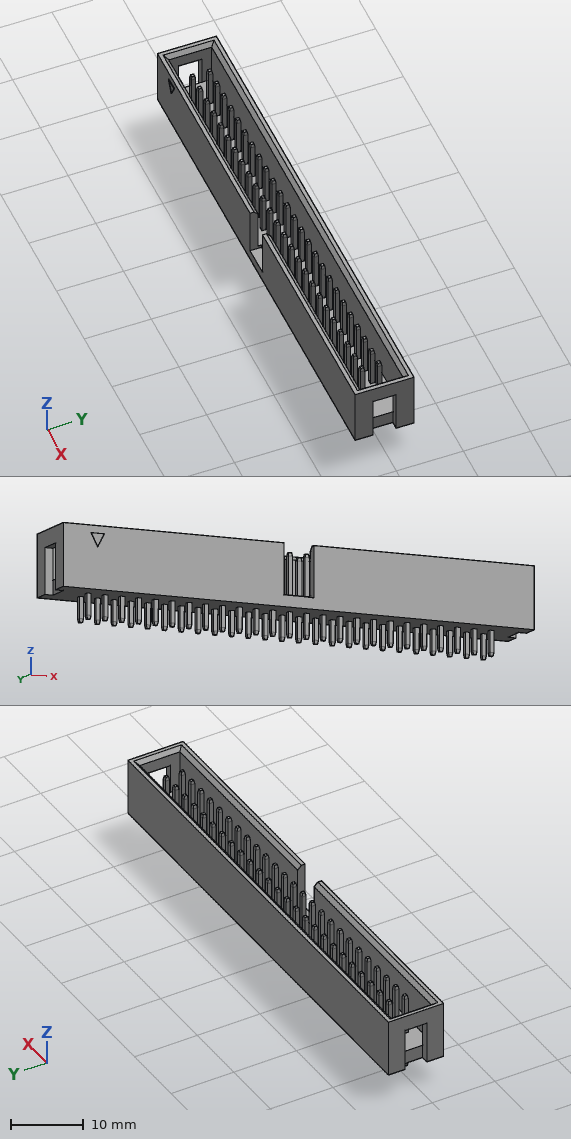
import cadquery as cq


length = 71.3
width = 8.8
height = 9.0
wall = 1.2
floor_thickness = 2.1
lead_in = 0.6

key_width = 4.5
key_depth = 1.7
key_bottom = 1.65

end_slot_width = 3.45
end_slot_top = 6.6

columns = 25
rows = 2
pitch = 2.54
pin_size = 0.64
pin_below = 3.6
pin_top = 8.35
pin_taper_height = 0.5
pin_taper_inset = 0.1

mark_width = 2.0
mark_height = 1.9
mark_top_gap = 1.1
mark_relief = 0.1

front_y = -width / 2
first_pin_x = -pitch * (columns - 1) / 2


def block(size_x, size_y, bottom, top):
    """Box centred on X and Y, spanning bottom to top in Z."""
    return (
        cq.Workplane("XY")
        .workplane(offset=bottom)
        .rect(size_x, size_y)
        .extrude(top - bottom)
    )


def shroud():
    """Open-topped housing with a chamfered inner rim."""
    cavity_length = length - 2 * wall
    cavity_width = width - 2 * wall
    cavity = block(cavity_length, cavity_width, floor_thickness, height)
    rim = (
        cq.Workplane("XY")
        .workplane(offset=height - lead_in)
        .rect(cavity_length, cavity_width)
        .workplane(offset=lead_in)
        .rect(cavity_length + 2 * lead_in, cavity_width + 2 * lead_in)
        .loft(ruled=True)
    )
    return block(length, width, 0, height).cut(cavity).cut(rim)


def key_slot():
    """Polarising slot through the front wall, sunk slightly into the floor."""
    return block(key_width, key_depth, key_bottom, height).translate((0, front_y + key_depth / 2, 0))


def end_slot(side):
    """Slot through one end wall, open at the bottom; side is -1 or +1."""
    slot_x = side * (length - wall) / 2
    return block(wall, end_slot_width, 0, end_slot_top).translate((slot_x, 0, 0))


def pin_one_mark():
    """Raised triangle pointing down at the first pin."""
    top = height - mark_top_gap
    return (
        cq.Workplane("XZ", origin=(first_pin_x, front_y, 0))
        .moveTo(-mark_width / 2, top)
        .lineTo(mark_width / 2, top)
        .lineTo(0, top - mark_height)
        .close()
        .extrude(mark_relief)
    )


def pin():
    """Square pin on the Z axis, tapered at both ends."""
    return (
        block(pin_size, pin_size, -pin_below, pin_top)
        .faces("<Z or >Z")
        .chamfer(pin_taper_height, pin_taper_inset)
    )


def pins():
    """All pins as one workplane of separate solids."""
    return (
        cq.Workplane("XY")
        .rarray(pitch, pitch, columns, rows)
        .eachpoint(pin().val(), combine=False)
    )


housing = shroud().cut(key_slot()).union(pin_one_mark())
for end in (-1, 1):
    housing = housing.cut(end_slot(end))

result = housing.union(pins())